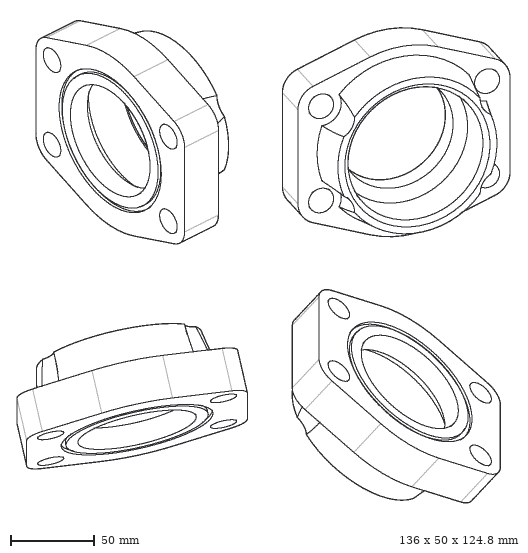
import cadquery as cq
import math

length = 136.0
crown_radius = 62.4
flange_thickness = 27.0
total_depth = 50.0

bolt_x = 53.2
bolt_z = 31.0
bolt_hole_diameter = 16.0
bolt_head_radius = 12.9

neck_base_radius = 55.8
neck_end_radius = 51.0

bore_diameter = 72.9
socket_diameter = 86.5
lip_depth = 13.6
socket_chamfer = 3.3
groove_outer_diameter = 93.5
groove_inner_diameter = 87.6
groove_depth = 2.0

corner_radius = length / 2 - bolt_x
bolt_points = [(sx * bolt_x, sz * bolt_z) for sx in (-1, 1) for sz in (-1, 1)]


def cylinders(points, diameter, start, end):
    """Cylinders along Y, at the given (x, z) points, from y = start to y = end."""
    plane = cq.Workplane("XZ", origin=(0, start, 0))
    return plane.pushPoints(points).circle(diameter / 2).extrude(start - end)


def flange_plate():
    """Plate whose corner arcs and crown arcs are joined by their common tangents."""
    center_distance = math.hypot(bolt_x, bolt_z)
    tangent_angle = math.atan2(bolt_x, bolt_z) - math.acos((crown_radius - corner_radius) / center_distance)

    def corner_point(angle):
        return (bolt_x + corner_radius * math.sin(angle), bolt_z + corner_radius * math.cos(angle))

    crown_x = crown_radius * math.sin(tangent_angle)
    crown_z = crown_radius * math.cos(tangent_angle)
    corner_x, corner_z = corner_point(tangent_angle)
    middle_x, middle_z = corner_point((tangent_angle + math.pi / 2) / 2)
    side_x = length / 2
    return (
        cq.Workplane("XZ")
        .moveTo(-crown_x, crown_z)
        .threePointArc((0, crown_radius), (crown_x, crown_z))
        .lineTo(corner_x, corner_z)
        .threePointArc((middle_x, middle_z), (side_x, bolt_z))
        .lineTo(side_x, -bolt_z)
        .threePointArc((middle_x, -middle_z), (corner_x, -corner_z))
        .lineTo(crown_x, -crown_z)
        .threePointArc((0, -crown_radius), (-crown_x, -crown_z))
        .lineTo(-corner_x, -corner_z)
        .threePointArc((-middle_x, -middle_z), (-side_x, -bolt_z))
        .lineTo(-side_x, bolt_z)
        .threePointArc((-middle_x, middle_z), (-corner_x, corner_z))
        .close()
        .extrude(-flange_thickness)
    )


def weld_neck():
    """Tapered neck behind the plate, scalloped to clear the bolt heads."""
    neck = (
        cq.Workplane("XY")
        .moveTo(0, flange_thickness)
        .lineTo(neck_base_radius, flange_thickness)
        .lineTo(neck_end_radius, total_depth)
        .lineTo(0, total_depth)
        .close()
        .revolve(360, (0, 0, 0), (0, 1, 0))
    )
    return neck.cut(cylinders(bolt_points, 2 * bolt_head_radius, flange_thickness, total_depth))


def seal_groove():
    """Ring-shaped groove in the front face."""
    center = [(0, 0)]
    outer = cylinders(center, groove_outer_diameter, 0, groove_depth)
    return outer.cut(cylinders(center, groove_inner_diameter, 0, groove_depth))


def bore():
    """Through bore opening by a 45 degree cone into a pipe socket, chamfered at its rear mouth."""
    bore_radius = bore_diameter / 2
    socket_radius = socket_diameter / 2
    socket_start = lip_depth + socket_radius - bore_radius
    return (
        cq.Workplane("XY")
        .lineTo(bore_radius, 0)
        .lineTo(bore_radius, lip_depth)
        .lineTo(socket_radius, socket_start)
        .lineTo(socket_radius, total_depth - socket_chamfer)
        .lineTo(socket_radius + socket_chamfer, total_depth)
        .lineTo(0, total_depth)
        .close()
        .revolve(360, (0, 0, 0), (0, 1, 0))
    )


result = (
    flange_plate()
    .union(weld_neck())
    .cut(cylinders(bolt_points, bolt_hole_diameter, 0, flange_thickness))
    .cut(bore())
    .cut(seal_groove())
)